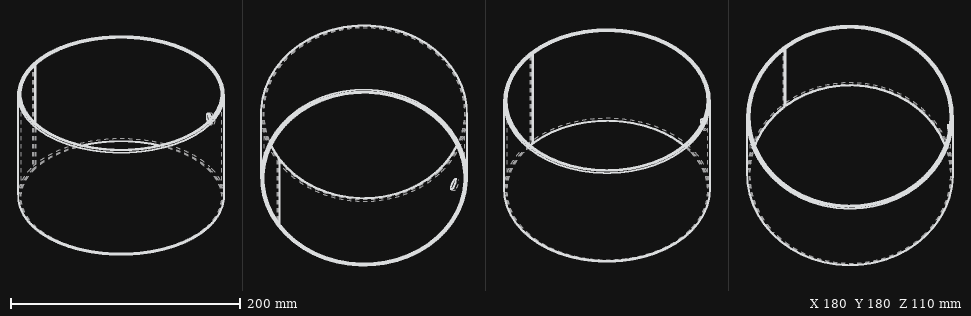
import cadquery as cq
import math

outer_diameter = 180.0
wall = 2.5
height = 110.0
inner_diameter = outer_diameter - 2 * wall
outer_chamfer_length = 2.0
outer_chamfer_depth = 0.7
inner_chamfer = 0.7
slit_width = 1.5
hole_diameter = 10.0
hole_angle = 59.0
outer_radius = outer_diameter / 2
inner_radius = inner_diameter / 2


def sleeve():
    """Revolve the wall section, centred on the origin."""
    half = height / 2
    section = [
        (inner_radius, inner_chamfer - half),
        (inner_radius + inner_chamfer, -half),
        (outer_radius - outer_chamfer_depth, -half),
        (outer_radius, outer_chamfer_length - half),
        (outer_radius, half - outer_chamfer_length),
        (outer_radius - outer_chamfer_depth, half),
        (inner_radius + inner_chamfer, half),
        (inner_radius, half - inner_chamfer),
    ]
    return cq.Workplane("XZ").polyline(section).close().revolve(360, (0, 0), (0, 1))


def slit():
    """Full-height cutter through the wall on the -X side."""
    centre = (wall / 2 - outer_radius, slit_width / 2, 0)
    return cq.Workplane("XY").box(2 * wall, slit_width, height).translate(centre)


def oil_hole():
    """Radial cutter through one side of the wall at mid-height."""
    angle = math.radians(hole_angle)
    direction = cq.Vector(math.cos(angle), math.sin(angle), 0)
    start = direction * (inner_radius - hole_diameter)
    length = outer_radius - inner_radius + 2 * hole_diameter
    return cq.Workplane(obj=cq.Solid.makeCylinder(hole_diameter / 2, length, start, direction))


result = sleeve().cut(slit()).cut(oil_hole())